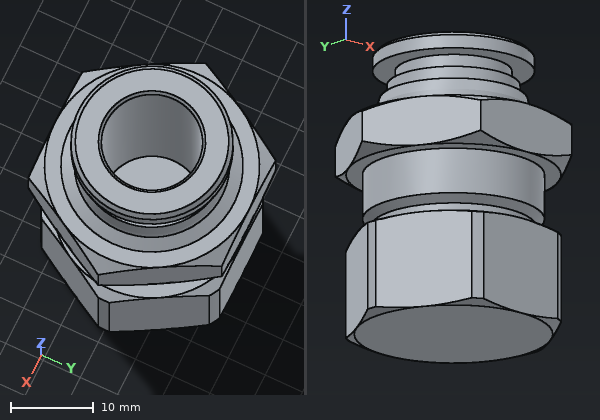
import cadquery as cq
import math

hex_top = 12.0
relief_top = 13.52
body_taper_top = 14.5
nut_bottom = 20.15
nut_top = 26.25
shoulder_top = 27.1
sleeve_taper_bottom = 28.15
sleeve_top = 29.63
collar_top = 31.4
button_bottom = 33.2
total_height = 35.4

relief_radius = 10.02
body_radius = 11.0
sleeve_radius = 9.4
sleeve_top_radius = 9.0
collar_radius = 8.07
neck_radius = 7.08
button_radius = 9.8
button_chamfer = 0.53

socket_radius = 6.12
socket_chamfer = 0.35
socket_floor = hex_top

nut_across_corners = 30.02
nut_bevel_angle = 30.0
hex_across_flats = 24.0
hex_corner_radius = 13.45
hex_bevel_angle = 20.0


def revolve_profile(points):
    """Revolve an (r, z) outline about the Z axis."""
    return cq.Workplane("XZ").polyline(points).close().revolve(360, (0, 0, 0), (0, 1, 0))


def bevelled_hex(across_corners, outer_radius, bevel_angle, bottom, top):
    """Hexagonal prism turned to outer_radius, with conical bevels that meet the middle of each flat."""
    flat_radius = across_corners / 2 * math.cos(math.pi / 6)
    bevel_height = (outer_radius - flat_radius) * math.tan(math.radians(bevel_angle))
    prism = (
        cq.Workplane("XY")
        .workplane(offset=bottom)
        .polygon(6, across_corners)
        .extrude(top - bottom)
    )
    envelope = revolve_profile([
        (0, bottom),
        (flat_radius, bottom),
        (outer_radius, bottom + bevel_height),
        (outer_radius, top - bevel_height),
        (flat_radius, top),
        (0, top),
    ])
    return prism.intersect(envelope)


hex_across_corners = hex_across_flats / math.cos(math.pi / 6)
wrench_hex = bevelled_hex(hex_across_corners, hex_corner_radius, hex_bevel_angle, 0, hex_top)

lock_nut = bevelled_hex(
    nut_across_corners, nut_across_corners / 2, nut_bevel_angle, nut_bottom, nut_top
)

core = revolve_profile([
    (0, 0),
    (relief_radius, 0),
    (relief_radius, relief_top),
    (body_radius, body_taper_top),
    (body_radius, nut_top),
    (sleeve_radius, shoulder_top),
    (sleeve_radius, sleeve_taper_bottom),
    (sleeve_top_radius, sleeve_top),
    (collar_radius, sleeve_top),
    (collar_radius, collar_top),
    (neck_radius, collar_top),
    (neck_radius, button_bottom),
    (button_radius, button_bottom),
    (button_radius, total_height - button_chamfer),
    (button_radius - button_chamfer, total_height),
    (0, total_height),
])

socket = revolve_profile([
    (0, socket_floor),
    (socket_radius, socket_floor),
    (socket_radius, total_height - socket_chamfer),
    (socket_radius + socket_chamfer, total_height),
    (0, total_height),
])

result = core.union(wrench_hex).union(lock_nut).cut(socket)